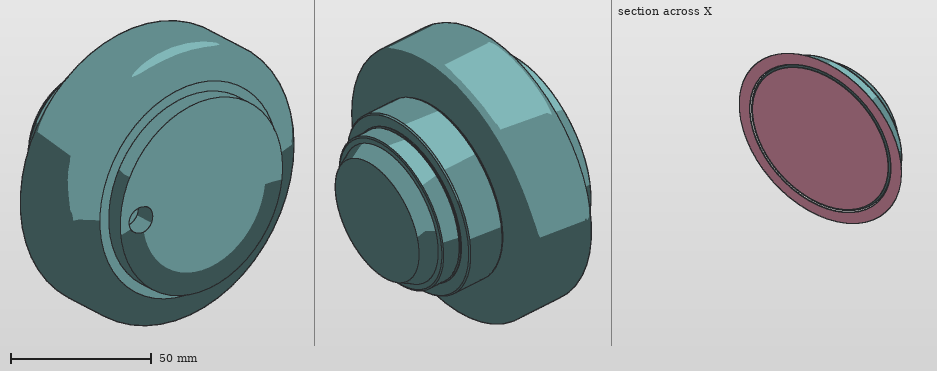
import cadquery as cq
import math


tip_radius = 24.1
taper_radius = 27.4
taper_length = 6.1
shaft_radius = 30.0
shaft_chamfer_width = 0.6
shaft_chamfer_length = 0.3

collar_start = 13.9
collar_radius = 35.5
collar_chamfer = 0.5
collar_gap = 0.3
groove_radius = 30.5
groove_depth = 0.3

roller_start = 29.4
roller_end = 60.4
roller_radius = 53.8
front_fillet = 3.0
rear_fillet = 5.0
rear_face_length = 3.5
rear_face_lean = math.radians(20)

neck_radius = 36.1
neck_length = 0.5
flange_radius = 37.5
rim_length = 1.6
rim_lean = math.radians(10)
total_length = 69.0

hole_radius = 5.1
hole_offset = 28.9

collar_end = roller_start - collar_gap
flange_start = roller_end + neck_length
flange_end = total_length - rim_length
hole_depth = total_length - flange_start


def stub_shaft():
    """Tapered tip and chamfered shaft, running into the collar."""
    chamfer_end = taper_length + shaft_chamfer_length
    groove_floor = collar_start + groove_depth
    return (
        cq.Workplane("XY")
        .lineTo(0, tip_radius)
        .lineTo(taper_length, taper_radius)
        .lineTo(taper_length, shaft_radius - shaft_chamfer_width)
        .lineTo(chamfer_end, shaft_radius)
        .lineTo(collar_start - shaft_chamfer_length, shaft_radius)
        .lineTo(collar_start, shaft_radius - shaft_chamfer_width)
        .lineTo(groove_floor, shaft_radius - shaft_chamfer_width)
        .lineTo(groove_floor, 0)
        .close()
        .revolve(360, (0, 0, 0), (1, 0, 0))
    )


def disc(start, end, radius):
    """Plain cylinder along X between two places."""
    return cq.Workplane("YZ", origin=(start, 0, 0)).circle(radius).extrude(end - start)


def collar():
    """Ring with both rims chamfered and a groove around the shaft, running into the roller."""
    ring = disc(collar_start, collar_end, collar_radius).edges().chamfer(collar_chamfer)
    groove = disc(collar_start, collar_start + groove_depth, groove_radius)
    link = disc(collar_end, roller_start, collar_radius - collar_chamfer)
    return ring.cut(groove).union(link)


def roller():
    """Rounded wheel whose rear face leans in below the rear fillet."""
    turn = math.pi / 2 - rear_face_lean
    arc_end_run = rear_fillet * math.sin(turn)
    arc_end_drop = rear_fillet * (1 - math.cos(turn))
    arc_end = (roller_end - rear_face_length, roller_radius - arc_end_drop)
    arc_start_x = arc_end[0] - arc_end_run
    arc_middle = (
        arc_start_x + rear_fillet * math.sin(turn / 2),
        roller_radius - rear_fillet * (1 - math.cos(turn / 2)),
    )
    rear_face_radius = arc_end[1] - rear_face_length / math.tan(rear_face_lean)
    corner = front_fillet * (1 - math.sqrt(0.5))
    return (
        cq.Workplane("XY")
        .moveTo(roller_start, 0)
        .lineTo(roller_start, roller_radius - front_fillet)
        .threePointArc(
            (roller_start + corner, roller_radius - corner),
            (roller_start + front_fillet, roller_radius),
        )
        .lineTo(arc_start_x, roller_radius)
        .threePointArc(arc_middle, arc_end)
        .lineTo(roller_end, rear_face_radius)
        .lineTo(roller_end, 0)
        .close()
        .revolve(360, (0, 0, 0), (1, 0, 0))
    )


def end_flange():
    """Flange on a short neck, with a conical outer rim on its end face."""
    end_face_radius = flange_radius - rim_length / math.tan(rim_lean)
    return (
        cq.Workplane("XY")
        .moveTo(roller_end, 0)
        .lineTo(roller_end, neck_radius)
        .lineTo(flange_start, neck_radius)
        .lineTo(flange_start, flange_radius)
        .lineTo(flange_end, flange_radius)
        .lineTo(total_length, end_face_radius)
        .lineTo(total_length, 0)
        .close()
        .revolve(360, (0, 0, 0), (1, 0, 0))
    )


def flange_hole():
    """Hole on the -Y side that breaks through the conical rim of the flange."""
    hole = disc(total_length - hole_depth, total_length, hole_radius)
    return hole.translate((0, -hole_offset, 0))


body = collar().union(stub_shaft()).union(roller()).union(end_flange())
result = body.cut(flange_hole())